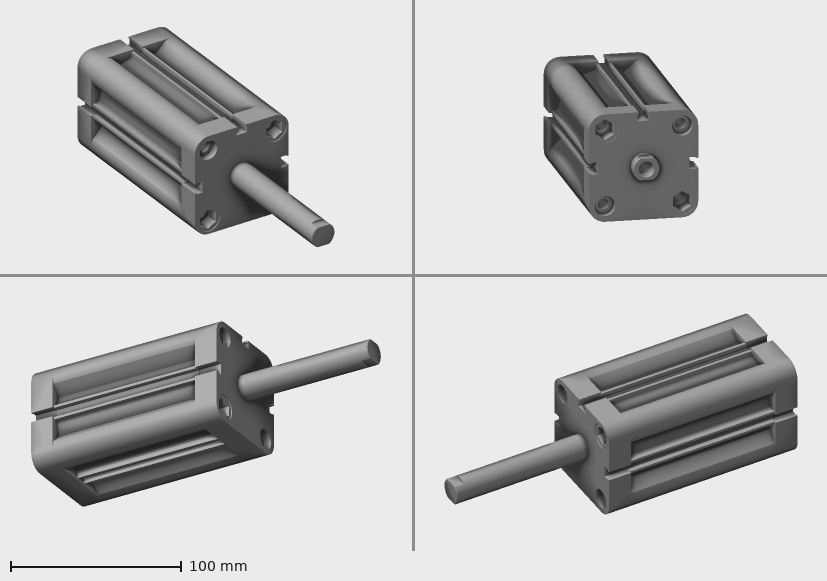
import cadquery as cq
import math

width = 65.5
cap_length = 14.7
barrel_length = 97.2
cylinder_length = barrel_length + 2 * cap_length
half_width = width / 2

bolt_offset = 23.1
corner_radius = half_width - bolt_offset
bolt_diameter = 6.7

counterbore_diameter = 12.2
counterbore_depth = 5.0
hex_across_flats = 11.0
hex_depth = 9.0
spotface_diameter = 16.0
spotface_depth = 0.7

slot_width = 6.0
cap_slot_width = 7.3
cap_lip_thickness = 1.3
cap_slot_floor = 27.4
barrel_slot_floor = 28.0

tube_radius = 27.8
lobe_end = 19.0
flank_fillet = 1.22
ridge_width = 9.3
ridge_height = 31.4
ridge_fillet = 1.9

rod_diameter = 15.8
near_overhang = 7.8
rod_length = 222.5
flat_spacing = 13.0
flat_length = 6.2
rod_chamfer = 0.5
thread_diameter = 9.8
thread_core_diameter = 8.5
thread_depth = 13.4
drill_point_angle = 118


def corner_points():
    """Bolt hole centres in the YZ plane."""
    return [(y, z) for y in (-bolt_offset, bolt_offset) for z in (-bolt_offset, bolt_offset)]


def cross_section(x=0.0):
    """Workplane across the axis at the given X, with local x = Y and local y = Z."""
    return cq.Workplane("YZ", origin=(x, 0, 0))


def around_axis(shape):
    """The shape repeated on the four sides of the section."""
    return [shape.rotate((0, 0, 0), (1, 0, 0), 90 * side) for side in range(4)]


def bar(length, y_size, z_low, z_high):
    """Bar along X, centred on Y = 0, between two heights."""
    return cross_section().center(0, (z_low + z_high) / 2).rect(y_size, z_high - z_low).extrude(length)


def bolt_holes(length):
    """Cutters for the four corner bolts."""
    return cross_section().pushPoints(corner_points()).circle(bolt_diameter / 2).extrude(length)


def rod_hole(length):
    """Cutter for the close-fitting rod hole."""
    return cross_section().circle(rod_diameter / 2).extrude(length)


def round_pocket(y, z, diameter, depth):
    """Round recess in the outer cap face."""
    return cross_section().center(y, z).circle(diameter / 2).extrude(depth)


def hex_pocket(y, z):
    """Hexagonal recess with corners up and down, inside a shallow round spotface."""
    across_corners = hex_across_flats / math.cos(math.pi / 6)
    hexagon = cross_section().center(y, z).polygon(6, across_corners).extrude(hex_depth)
    upright_hexagon = hexagon.rotate((0, y, z), (1, y, z), 90)
    return upright_hexagon.union(round_pocket(y, z, spotface_diameter, spotface_depth))


def make_near_cap():
    cap = cross_section().rect(width, width).extrude(cap_length).edges("|X").fillet(corner_radius)

    lip_bottom = half_width - cap_lip_thickness
    slot = bar(cap_length, slot_width, cap_slot_floor, half_width)
    slot = slot.union(bar(cap_length, cap_slot_width, cap_slot_floor, lip_bottom))
    for angle in (-90, 0, 90):
        cap = cap.cut(slot.rotate((0, 0, 0), (1, 0, 0), angle))

    cap = cap.cut(bolt_holes(cap_length))
    cap = cap.cut(rod_hole(cap_length))
    for y, z in corner_points():
        if y * z > 0:
            cap = cap.cut(hex_pocket(y, z))
        else:
            cap = cap.cut(round_pocket(y, z, counterbore_diameter, counterbore_depth))
    return cap


def make_far_cap():
    middle = cylinder_length / 2
    return make_near_cap().mirror("YZ", (middle, 0, 0))


def tube_edges(barrel, nearest, farthest):
    """Lengthwise edges on the tube wall, between two distances from the closer mid-plane."""
    tolerance = 0.02

    def is_wanted(edge):
        centre = edge.Center()
        offset = min(abs(centre.y), abs(centre.z))
        on_wall = abs(math.hypot(centre.y, centre.z) - tube_radius) < tolerance
        return on_wall and nearest < offset < farthest

    return barrel.edges("|X").filter(is_wanted)


def make_barrel():
    barrel = cross_section().circle(tube_radius).extrude(barrel_length)

    lobe_rise = math.sqrt(corner_radius**2 - (bolt_offset - lobe_end) ** 2)
    flank_offset = bolt_offset + lobe_rise - lobe_end
    lobe_middle = bolt_offset + corner_radius * math.sqrt(0.5)
    lobe = (
        cross_section()
        .moveTo(0, 0)
        .lineTo(0, flank_offset)
        .lineTo(lobe_end, lobe_end + flank_offset)
        .threePointArc((lobe_middle, lobe_middle), (lobe_end + flank_offset, lobe_end))
        .lineTo(flank_offset, 0)
        .close()
        .extrude(barrel_length)
    )
    for corner in around_axis(lobe):
        barrel = barrel.union(corner)

    for ridge in around_axis(bar(barrel_length, ridge_width, 0, ridge_height)):
        barrel = barrel.union(ridge)

    dividing_offset = lobe_end / 2
    barrel = tube_edges(barrel, 0, dividing_offset).fillet(ridge_fillet)
    barrel = tube_edges(barrel, dividing_offset, lobe_end).fillet(flank_fillet)

    for slot in around_axis(bar(barrel_length, slot_width, barrel_slot_floor, ridge_height)):
        barrel = barrel.cut(slot)

    barrel = barrel.cut(bolt_holes(barrel_length))
    barrel = barrel.cut(rod_hole(barrel_length))
    return barrel.translate((cap_length, 0, 0))


def make_rod():
    near_end = -near_overhang
    far_end = near_end + rod_length
    rod = cross_section(near_end).circle(rod_diameter / 2).extrude(rod_length)
    rod = rod.faces("<X or >X").chamfer(rod_chamfer)

    flat_depth = (rod_diameter - flat_spacing) / 2
    flat_centre = (rod_diameter + flat_spacing) / 4
    for x in (near_end, far_end - flat_length):
        flats = cross_section(x).pushPoints([(0, flat_centre), (0, -flat_centre)])
        rod = rod.cut(flats.rect(rod_diameter, flat_depth).extrude(flat_length))

    mouth_radius = thread_diameter / 2
    core_radius = thread_core_diameter / 2
    countersink_end = near_end + mouth_radius - core_radius
    core_end = near_end + thread_depth
    point_end = core_end + core_radius / math.tan(math.radians(drill_point_angle / 2))
    thread_hole = (
        cq.Workplane("XZ")
        .polyline([
            (near_end, 0),
            (near_end, mouth_radius),
            (countersink_end, core_radius),
            (core_end, core_radius),
            (point_end, 0),
        ])
        .close()
        .revolve(360, (0, 0, 0), (1, 0, 0))
    )
    return rod.cut(thread_hole)


near_cap = make_near_cap()
far_cap = make_far_cap()
barrel = make_barrel()
rod = make_rod()

result = cq.Compound.makeCompound([near_cap.val(), far_cap.val(), barrel.val(), rod.val()])